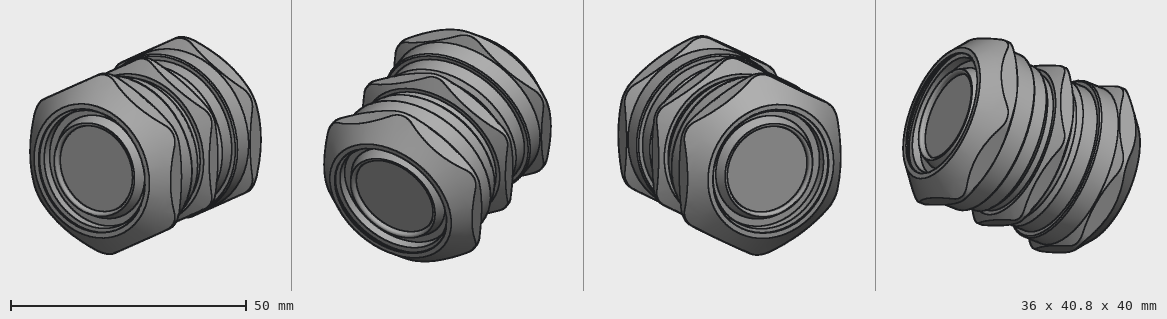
import cadquery as cq
import math


end_y = 20.4
seat_y = 19.18
floor_y = 17.15
collar_outer_y = 12.85
collar_inner_y = 8.3
barrel_inner_y = 4.7
middle_nut_half = 2.25

neck_d = 31.0
barrel_d = 33.0
collar_d = 35.5
collar_chamfer = 0.33

end_nut_flats = 36.0
end_nut_corner_r = 4.95
end_face_r = 14.75
middle_nut_flats = 34.85
middle_nut_corner_r = 4.0
middle_face_r = 16.4
nut_slope = math.tan(math.radians(30))
blank_r = 21.2

mouth_d = 27.2
mouth_land = 0.4
undercut_r = 14.3
bore_d = 26.0
insert_base_r = 11.4
insert_rim_r = 10.3
insert_height = 2.3
pocket_d = 19.1
pocket_depth = 1.22
pocket_rim_round = 0.55


def turned(points):
    """Revolve a closed (radius, y) outline about the Y axis."""
    return cq.Workplane("XY").polyline(points).close().revolve(360, (0, 0, 0), (0, 1, 0))


def hex_prism(flats, corner_radius, start_y, finish_y):
    """Hexagonal prism along Y with rounded corners pointing along Z."""
    prism = (
        cq.Workplane("XZ", origin=(0, start_y, 0))
        .transformed(rotate=(0, 0, 90))
        .polygon(6, flats / math.cos(math.pi / 6))
        .extrude(start_y - finish_y)
    )
    return prism.edges("|Y").fillet(corner_radius)


def make_half_body():
    """Neck, tapered barrel and collar."""
    neck_r = neck_d / 2
    barrel_r = barrel_d / 2
    collar_r = collar_d / 2
    return turned([
        (0, -collar_outer_y),
        (collar_r, -collar_outer_y),
        (collar_r, -collar_inner_y - collar_chamfer),
        (collar_r - collar_chamfer, -collar_inner_y),
        (barrel_r, -collar_inner_y),
        (barrel_r, -barrel_inner_y),
        (neck_r, -barrel_inner_y + barrel_r - neck_r),
        (neck_r, 0),
        (0, 0),
    ])


def make_end_nut():
    """Hexagon with a 30 degree inner chamfer and a large 45 degree outer chamfer."""
    inner_face_r = collar_d / 2
    blank = turned([
        (0, -end_y),
        (end_face_r, -end_y),
        (blank_r, -end_y + blank_r - end_face_r),
        (blank_r, -collar_outer_y - (blank_r - inner_face_r) * nut_slope),
        (inner_face_r, -collar_outer_y),
        (0, -collar_outer_y),
    ])
    return blank.intersect(hex_prism(end_nut_flats, end_nut_corner_r, -end_y, -collar_outer_y))


def make_middle_nut():
    """Hexagon chamfered at 30 degrees on both faces, through to its rounded corners."""
    cone_height = middle_nut_half / nut_slope
    tip_r = middle_face_r + cone_height
    blank = turned([
        (0, -middle_nut_half),
        (middle_face_r, -middle_nut_half),
        (tip_r, 0),
        (middle_face_r, middle_nut_half),
        (0, middle_nut_half),
    ])
    prism = hex_prism(middle_nut_flats, middle_nut_corner_r, -middle_nut_half, middle_nut_half)
    return blank.intersect(prism)


def make_mouth():
    """Recess with an undercut groove behind its mouth."""
    mouth_r = mouth_d / 2
    bore_r = bore_d / 2
    return turned([
        (0, -end_y),
        (mouth_r, -end_y),
        (mouth_r, -end_y + mouth_land),
        (undercut_r, -seat_y),
        (bore_r, -seat_y),
        (bore_r, -floor_y),
        (0, -floor_y),
    ])


def make_insert():
    """Tapered sealing insert with a shallow round-edged pocket in its face."""
    rim_y = -floor_y - insert_height
    pocket_r = pocket_d / 2
    arc_offset = pocket_rim_round * (1 - math.sqrt(0.5))
    outline = (
        cq.Workplane("XY")
        .moveTo(0, -floor_y)
        .lineTo(insert_base_r, -floor_y)
        .lineTo(insert_rim_r, rim_y)
        .lineTo(pocket_r + pocket_rim_round, rim_y)
        .threePointArc(
            (pocket_r + arc_offset, rim_y + arc_offset),
            (pocket_r, rim_y + pocket_rim_round),
        )
        .lineTo(pocket_r, rim_y + pocket_depth)
        .lineTo(0, rim_y + pocket_depth)
        .close()
    )
    return outline.revolve(360, (0, 0, 0), (0, 1, 0))


half = make_half_body().union(make_end_nut()).cut(make_mouth()).union(make_insert())
result = half.union(half.mirror("XZ")).union(make_middle_nut())